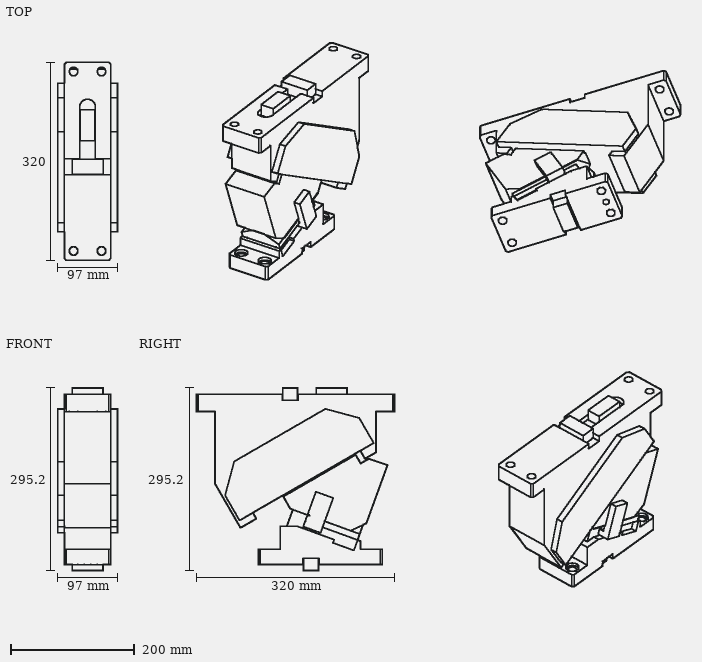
import cadquery as cq
import math

BODY_WIDTH = 75.0
OVERALL_WIDTH = 97.0

CORNER_CHAMFER = 3.2
BOLT_DIAMETER = 13.5
BOLT_SPACING_X = 45.0
BOLT_INSET = 15.5
KEY_WIDTH = 24.3
KEY_LENGTH = 50.0
KEY_PROTRUSION = 10.0
KEY_SLOT_WIDTH = 25.3
KEY_SLOT_DEPTH = 10.0

HOLDER_LENGTH = 320.0
HOLDER_TOP = 275.2
HOLDER_FLANGE = 28.0
HOLDER_BLOCK_LENGTH = 260.0
HOLDER_KEY_Y = -8.5
LONG_KEY_WIDTH = 23.7
LONG_KEY_Y = 58.2
LONG_SLOT_WIDTH = 25.5
LONG_SLOT_END_Y = 100.0

SLIDE_ANGLE = 30.0
SLIDE_START_Y = 126.0
SLIDE_START_Z = 196.0
PLATE_LENGTH = 250.0
PLATE_HEIGHT = 86.7
PLATE_CHAMFER = 40.0
STOP_INSET = 25.0
UPPER_STOP_DEPTH = 15.0
LOWER_STOP_DEPTH = 11.2
LOWER_STOP_OVERHANG = 4.8

SLIDER_START = 34.5
SLIDER_END = 169.5
SLIDER_NOTCH_START = 19.5
SLIDER_NOTCH_DEPTH = 18.0
RIB_WIDTH = 64.0
RIB_HEIGHT = 2.0
SLIDER_BACK = -4.0
SLIDER_BACK_TOP = 120.0
SLIDER_BACK_BOTTOM = 20.0
SLIDER_BOTTOM_START = 15.7
SLIDER_BOTTOM_END = 119.7

BRACKET_START = 60.0
BRACKET_WIDTH = 29.8
BRACKET_TOP = 40.0
BRACKET_BOTTOM = -20.0

BASE_LENGTH = 200.0
BASE_CENTRE_Y = 40.0
BASE_FLANGE = 25.0
BASE_BLOCK_LENGTH = 130.0
BASE_BLOCK_TOP = 62.0
BASE_KEY_Y = 25.0
COUNTERBORE_DIAMETER = 21.0
COUNTERBORE_DEPTH = 5.0
DOWEL_DIAMETER = 10.0

GUIDE_ANGLE = 20.0
GUIDE_START_Y = 103.7
GUIDE_START_Z = 49.3
GUIDE_LENGTH = 115.2
GUIDE_ROOT = -32.0
GUIDE_WIDTH = 55.7
GUIDE_LEDGE_WIDTH = 72.3
GUIDE_LEDGE_THICKNESS = 10.2
GUIDE_LEDGE_LENGTH = 87.0
ROOF_ANGLE = 30.0
RECESS_LENGTH = 36.0
RECESS_LEVEL = -28.0
SEAT_LEVEL = -22.7

HOLDER_UNDERSIDE = HOLDER_TOP - HOLDER_FLANGE


def slide_point(along, height):
    """(Y, Z) of a point given by its distance down the sliding plane and its height above it."""
    angle = math.radians(SLIDE_ANGLE)
    y = SLIDE_START_Y - along * math.cos(angle) - height * math.sin(angle)
    z = SLIDE_START_Z - along * math.sin(angle) + height * math.cos(angle)
    return (y, z)


def guide_point(along, height):
    """(Y, Z) of a point given by its distance up the guide and its height above the guide's eaves."""
    angle = math.radians(GUIDE_ANGLE)
    y = GUIDE_START_Y - along * math.cos(angle) + height * math.sin(angle)
    z = GUIDE_START_Z + along * math.sin(angle) + height * math.cos(angle)
    return (y, z)


def prism(points, width):
    """A (Y, Z) outline extruded along X, centred on X = 0."""
    return cq.Workplane("YZ").polyline(points).close().extrude(width / 2, both=True)


def guide_prism(width, bottom, length):
    """A bar running up the guide from its lower end, under the guide's roof."""
    angle = math.radians(GUIDE_ANGLE)
    plane = cq.Plane(
        origin=(0, GUIDE_START_Y, GUIDE_START_Z),
        xDir=(1, 0, 0),
        normal=(0, -math.cos(angle), math.sin(angle)),
    )
    half = width / 2
    roof_slope = math.tan(math.radians(ROOF_ANGLE))
    ridge = GUIDE_LEDGE_WIDTH / 2 * roof_slope
    eave = ridge - half * roof_slope
    outline = [(-half, bottom), (half, bottom), (half, eave), (0, ridge), (-half, eave)]
    return cq.Workplane(plane).polyline(outline).close().extrude(length)


def box(width, length, y, bottom, top):
    """A box centred on X = 0 and on the given Y."""
    return cq.Workplane("XY", origin=(0, y, bottom)).rect(width, length).extrude(top - bottom)


def flange(length, y, bottom, top):
    """A mounting plate with chamfered upright corners."""
    return box(BODY_WIDTH, length, y, bottom, top).edges("|Z").chamfer(CORNER_CHAMFER)


def bolt_axes(length, y, level):
    """A workplane holding the four bolt positions of a flange."""
    return cq.Workplane("XY", origin=(0, y, level)).rect(
        BOLT_SPACING_X, length - 2 * BOLT_INSET, forConstruction=True
    ).vertices()


def make_holder():
    """Upper body: bolted flange, block with the sliding plane, side plates and two keys."""
    half_block = HOLDER_BLOCK_LENGTH / 2
    slope = math.tan(math.radians(SLIDE_ANGLE))

    upper_y, upper_z = slide_point(0, -UPPER_STOP_DEPTH)
    lower_end = PLATE_LENGTH + LOWER_STOP_OVERHANG
    end_y, end_z = slide_point(lower_end, 0)
    block = prism(
        [
            (half_block, HOLDER_TOP),
            (half_block, upper_z + (half_block - upper_y) * slope),
            slide_point(STOP_INSET, -UPPER_STOP_DEPTH),
            slide_point(STOP_INSET, 0),
            slide_point(PLATE_LENGTH - STOP_INSET, 0),
            slide_point(PLATE_LENGTH - STOP_INSET, -LOWER_STOP_DEPTH),
            slide_point(lower_end, -LOWER_STOP_DEPTH),
            (-half_block, end_z + (end_y + half_block) / slope),
            (-half_block, HOLDER_TOP),
        ],
        BODY_WIDTH,
    )
    holder = block.union(flange(HOLDER_LENGTH, 0, HOLDER_UNDERSIDE, HOLDER_TOP))

    plates = prism(
        [
            slide_point(0, 0),
            slide_point(0, PLATE_HEIGHT - PLATE_CHAMFER),
            slide_point(PLATE_CHAMFER, PLATE_HEIGHT),
            slide_point(PLATE_LENGTH - PLATE_CHAMFER, PLATE_HEIGHT),
            slide_point(PLATE_LENGTH, PLATE_HEIGHT - PLATE_CHAMFER),
            slide_point(PLATE_LENGTH, 0),
        ],
        OVERALL_WIDTH,
    )
    core = box(BODY_WIDTH, HOLDER_LENGTH, 0, 0, HOLDER_TOP)
    holder = holder.union(plates.cut(core))

    slot_floor = HOLDER_TOP - KEY_SLOT_DEPTH
    holder = holder.cut(box(BODY_WIDTH, KEY_SLOT_WIDTH, HOLDER_KEY_Y, slot_floor, HOLDER_TOP))
    radius = LONG_SLOT_WIDTH / 2
    long_slot = (
        cq.Workplane("XY", origin=(0, 0, slot_floor))
        .moveTo(-radius, HOLDER_KEY_Y)
        .lineTo(radius, HOLDER_KEY_Y)
        .lineTo(radius, LONG_SLOT_END_Y - radius)
        .threePointArc((0, LONG_SLOT_END_Y), (-radius, LONG_SLOT_END_Y - radius))
        .close()
        .extrude(KEY_SLOT_DEPTH)
    )
    holder = holder.cut(long_slot)

    key_top = HOLDER_TOP + KEY_PROTRUSION
    holder = holder.union(box(KEY_LENGTH, KEY_WIDTH, HOLDER_KEY_Y, slot_floor, key_top))
    holder = holder.union(box(LONG_KEY_WIDTH, KEY_LENGTH, LONG_KEY_Y, slot_floor, key_top))

    bolts = bolt_axes(HOLDER_LENGTH, 0, HOLDER_UNDERSIDE).circle(BOLT_DIAMETER / 2).extrude(HOLDER_FLANGE)
    return holder.cut(bolts)


def make_slider():
    """Middle body between the sliding plane and the guide, with a bracket on each side."""
    body = prism(
        [
            guide_point(SLIDER_BOTTOM_START, 0),
            guide_point(SLIDER_BACK, SLIDER_BACK_BOTTOM),
            guide_point(SLIDER_BACK, SLIDER_BACK_TOP),
            slide_point(SLIDER_NOTCH_START, -SLIDER_NOTCH_DEPTH),
            slide_point(SLIDER_START, -SLIDER_NOTCH_DEPTH),
            slide_point(SLIDER_START, -RIB_HEIGHT),
            slide_point(SLIDER_END, -RIB_HEIGHT),
            guide_point(SLIDER_BOTTOM_END, 0),
        ],
        BODY_WIDTH,
    )

    rib = prism(
        [
            slide_point(SLIDER_START, 0),
            slide_point(SLIDER_END, 0),
            slide_point(SLIDER_END, -SLIDER_NOTCH_DEPTH),
            slide_point(SLIDER_START, -SLIDER_NOTCH_DEPTH),
        ],
        RIB_WIDTH,
    )

    groove = guide_prism(GUIDE_LEDGE_WIDTH, GUIDE_ROOT, 2 * GUIDE_LENGTH)
    slider = body.union(rib).cut(groove)

    bracket_end = BRACKET_START + BRACKET_WIDTH
    brackets = prism(
        [
            guide_point(BRACKET_START, BRACKET_TOP),
            guide_point(bracket_end, BRACKET_TOP),
            guide_point(bracket_end, BRACKET_BOTTOM),
            guide_point(BRACKET_START, BRACKET_BOTTOM),
        ],
        OVERALL_WIDTH,
    )
    ledge_clearance = guide_prism(GUIDE_LEDGE_WIDTH, -GUIDE_LEDGE_THICKNESS, GUIDE_LENGTH)
    guide_clearance = guide_prism(GUIDE_WIDTH, GUIDE_ROOT, GUIDE_LENGTH)
    return slider.union(brackets.cut(ledge_clearance).cut(guide_clearance))


def make_base():
    """Lower body: bolted flange, block, roofed guide and key."""
    half_block = BASE_BLOCK_LENGTH / 2
    back = BASE_CENTRE_Y + half_block
    front = BASE_CENTRE_Y - half_block
    slope = math.tan(math.radians(GUIDE_ANGLE))

    ledge_y, ledge_z = guide_point(0, -GUIDE_LEDGE_THICKNESS)
    seat_y, seat_z = guide_point(RECESS_LENGTH, SEAT_LEVEL)
    block = prism(
        [
            (back, 0),
            (back, ledge_z - (back - ledge_y) * slope),
            (ledge_y, ledge_z),
            guide_point(0, SEAT_LEVEL),
            (seat_y, seat_z),
            (seat_y - (BASE_BLOCK_TOP - seat_z) / slope, BASE_BLOCK_TOP),
            (front, BASE_BLOCK_TOP),
            (front, 0),
        ],
        BODY_WIDTH,
    )
    base = block.union(flange(BASE_LENGTH, BASE_CENTRE_Y, 0, BASE_FLANGE))

    recess = [
        guide_point(0, SEAT_LEVEL),
        guide_point(RECESS_LENGTH, SEAT_LEVEL),
        guide_point(RECESS_LENGTH, RECESS_LEVEL),
        guide_point(0, RECESS_LEVEL),
    ]
    base = base.cut(prism(recess, BODY_WIDTH))

    base = base.union(guide_prism(GUIDE_WIDTH, GUIDE_ROOT, GUIDE_LENGTH))
    base = base.union(guide_prism(GUIDE_LEDGE_WIDTH, -GUIDE_LEDGE_THICKNESS, GUIDE_LEDGE_LENGTH))

    base = base.cut(box(BODY_WIDTH, KEY_SLOT_WIDTH, BASE_KEY_Y, 0, KEY_SLOT_DEPTH))
    base = base.union(box(KEY_LENGTH, KEY_WIDTH, BASE_KEY_Y, -KEY_PROTRUSION, KEY_SLOT_DEPTH))

    bolts = bolt_axes(BASE_LENGTH, BASE_CENTRE_Y, 0).circle(BOLT_DIAMETER / 2).extrude(BASE_FLANGE)
    counterbores = (
        bolt_axes(BASE_LENGTH, BASE_CENTRE_Y, BASE_FLANGE - COUNTERBORE_DEPTH)
        .circle(COUNTERBORE_DIAMETER / 2)
        .extrude(COUNTERBORE_DEPTH)
    )
    base = base.cut(bolts).cut(counterbores)

    dowel_y = BASE_CENTRE_Y - BASE_LENGTH / 2 + BOLT_INSET
    dowel = cq.Workplane("XY", origin=(0, dowel_y, 0)).circle(DOWEL_DIAMETER / 2).extrude(BASE_FLANGE)
    return base.cut(dowel)


holder = make_holder()
slider = make_slider()
base = make_base()

result = cq.Compound.makeCompound([holder.solids().val(), slider.solids().val(), base.solids().val()])